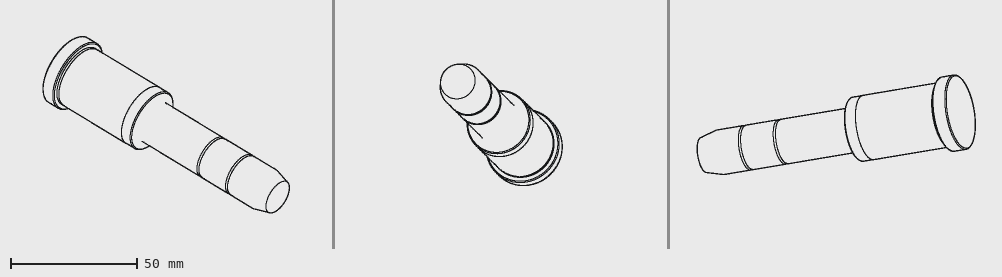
import cadquery as cq

total_length = 111.0
head_length = 6.0
body_end = 45.0
lead_length = 5.0
tip_length = 7.0

head_radius = 30.0 / 2
body_radius = 26.0 / 2
lead_radius = body_radius - 0.05
shaft_radius = 18.0 / 2
tip_radius = 14.2 / 2

edge_chamfer = 0.4
shaft_root_fillet = 0.7
groove_width = 1.0
groove_depth = 0.3
shaft_groove_starts = (76.3, 91.4)


def cylinder(start, end, radius):
    """Solid cylinder on the X axis from start to end."""
    return cq.Workplane("YZ").workplane(offset=start).circle(radius).extrude(end - start)


def round_groove(start, surface_radius):
    """Ring with an arc-shaped section that cuts a shallow groove into a cylinder."""
    middle = start + groove_width / 2
    end = start + groove_width
    clearance_radius = surface_radius + groove_depth
    return (
        cq.Workplane("XY")
        .moveTo(start, clearance_radius)
        .lineTo(start, surface_radius)
        .threePointArc((middle, surface_radius - groove_depth), (end, surface_radius))
        .lineTo(end, clearance_radius)
        .close()
        .revolve(360, (0, 0, 0), (1, 0, 0))
    )


def shaft():
    """Shaft with a rounded root against the body and a conical tip."""
    root_end = body_end + shaft_root_fillet
    root_radius = shaft_radius + shaft_root_fillet
    arc_offset = shaft_root_fillet * (1 - 0.5 ** 0.5)
    return (
        cq.Workplane("XY")
        .moveTo(body_end, 0)
        .lineTo(body_end, root_radius)
        .threePointArc((body_end + arc_offset, shaft_radius + arc_offset), (root_end, shaft_radius))
        .lineTo(total_length - tip_length, shaft_radius)
        .lineTo(total_length, tip_radius)
        .lineTo(total_length, 0)
        .close()
        .revolve(360, (0, 0, 0), (1, 0, 0))
    )


head = cylinder(0, head_length, head_radius).edges().chamfer(edge_chamfer)

lead_start = body_end - lead_length
body = cylinder(head_length, lead_start, body_radius)
lead = cylinder(lead_start, body_end, lead_radius).faces(">X").edges().chamfer(edge_chamfer)

result = head.union(body).union(lead).union(shaft())

result = result.cut(round_groove(head_length, body_radius))
for groove_start in shaft_groove_starts:
    result = result.cut(round_groove(groove_start, shaft_radius))